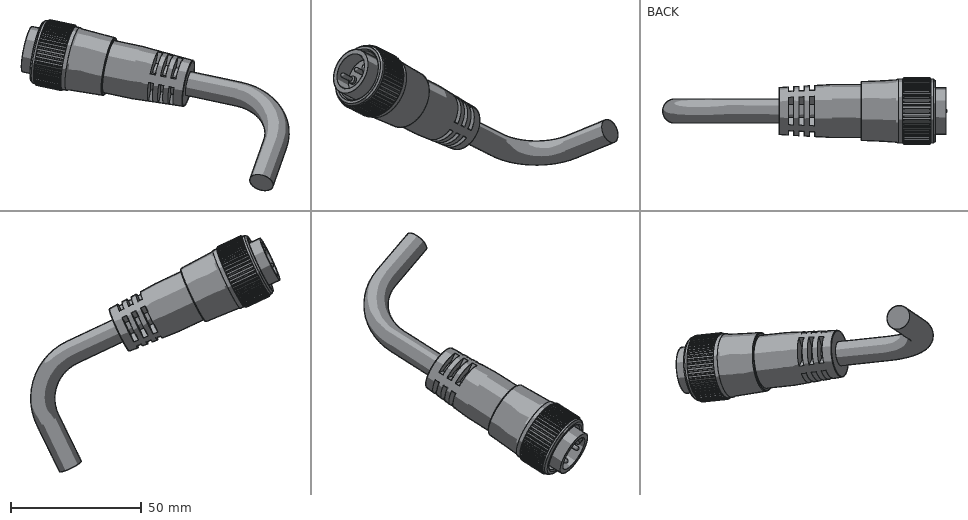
import cadquery as cq
import math


nut_front = 4.2
knurl_start = 5.8
knurl_end = 16.7
collar_end = 18.4
skirt_start = 19.2
nut_rear = 32.8
seat_x = 13.1
taper_start = 43.9
overmold_rear = 64.3

barrel_radius = 9.0
socket_radius = 7.1
socket_depth = 6.6
key_half_width = 2.3
key_nose_x = 1.0
key_inner_y = -5.0
pin_radius = 0.9
pin_tip_x = -0.3
pin_pitch = 7.0
pin_centre_y = 1.0
pin_ys = [pin_centre_y - pin_pitch / 2, pin_centre_y + pin_pitch / 2]
pin_collar_radius = 1.5
pin_collar_height = 1.6
pin_collar_bevel = pin_collar_radius - pin_radius

bore_radius = 10.1
bore_bevel = 0.5
nut_face_radius = 11.7
collar_radius = 12.4
front_bevel_length = 0.8
knurl_radius = 12.9
knurl_bevel = knurl_radius - collar_radius
skirt_front_radius = 12.0
skirt_rear_radius = 11.4
skirt_rear_bevel = 0.3
groove_count = 55
groove_width = 0.9

overmold_radius = 10.3
tail_radius = 9.1
tail_bevel = 0.2
slot_row_count = 3
slot_width = 2.0
slot_pitch = 4.0
first_slot_x = 50.5
core_radius = 5.5
web_thickness = 3.4

cable_radius = 4.7
cable_straight = 20.0
cable_bend_radius = 20.0


def cylinder(x_start, x_end, radius, y=0):
    """Solid cylinder lying along X."""
    return cq.Workplane("YZ", origin=(x_start, y, 0)).circle(radius).extrude(x_end - x_start)


def revolve_about_x(profile):
    """Full turn of a closed XY profile about the X axis."""
    return profile.close().revolve(360, (0, 0, 0), (1, 0, 0))


def make_pin(y):
    """Round-nosed contact pin with a bevelled collar where it leaves the socket floor."""
    collar_x = socket_depth - pin_collar_height
    shaft = cylinder(pin_tip_x + pin_radius, socket_depth, pin_radius, y)
    nose = cq.Workplane("XY").sphere(pin_radius).translate((pin_tip_x + pin_radius, y, 0))
    collar = cylinder(collar_x, socket_depth, pin_collar_radius, y).faces("<X").chamfer(pin_collar_bevel)
    return shaft.union(nose).union(collar)


def make_key():
    """Round-nosed key that runs along the socket wall to its floor."""
    arc_centre_x = key_nose_x + key_half_width
    outer_y = -(socket_radius + barrel_radius) / 2
    block = (
        cq.Workplane("XZ", origin=(0, key_inner_y, 0))
        .moveTo(socket_depth, -key_half_width)
        .lineTo(arc_centre_x, -key_half_width)
        .threePointArc((key_nose_x, 0), (arc_centre_x, key_half_width))
        .lineTo(socket_depth, key_half_width)
        .close()
        .extrude(key_inner_y - outer_y)
    )
    return block.intersect(cylinder(0, socket_depth, socket_radius))


def make_insert():
    insert = cylinder(0, seat_x, barrel_radius).cut(cylinder(0, socket_depth, socket_radius))
    insert = insert.union(make_key())
    for y in pin_ys:
        insert = insert.union(make_pin(y))
    return insert


def make_nut_blank():
    """Nut before knurling: bevelled collar, knurl band and tapered skirt around a stepped bore."""
    return revolve_about_x(
        cq.Workplane("XY")
        .moveTo(nut_front, bore_radius + bore_bevel)
        .lineTo(nut_front, nut_face_radius)
        .lineTo(nut_front + front_bevel_length, collar_radius)
        .lineTo(knurl_start, collar_radius)
        .lineTo(knurl_start + knurl_bevel, knurl_radius)
        .lineTo(knurl_end - knurl_bevel, knurl_radius)
        .lineTo(knurl_end, collar_radius)
        .lineTo(collar_end, collar_radius)
        .lineTo(skirt_start, skirt_front_radius)
        .lineTo(nut_rear - skirt_rear_bevel, skirt_rear_radius)
        .lineTo(nut_rear, skirt_rear_radius - skirt_rear_bevel)
        .lineTo(nut_rear, overmold_radius)
        .lineTo(seat_x, overmold_radius)
        .lineTo(seat_x, bore_radius)
        .lineTo(nut_front + bore_bevel, bore_radius)
    )


def make_nut():
    """Nut with straight knurl grooves cut down to the collar radius."""
    groove_depth = 2 * knurl_bevel
    grooves = (
        cq.Workplane("YZ", origin=(knurl_start, 0, 0))
        .polarArray(collar_radius + groove_depth / 2, 0, 360, groove_count)
        .rect(groove_depth, groove_width)
        .extrude(knurl_end - knurl_start)
    )
    return make_nut_blank().cut(grooves)


def make_slot_row(x):
    """Ring of four slots down to the core, parted by two crossed diagonal webs."""
    ring = cylinder(x, x + slot_width, overmold_radius).cut(cylinder(x, x + slot_width, core_radius))
    for angle in (45, 135):
        web = (
            cq.Workplane("YZ", origin=(x, 0, 0))
            .transformed(rotate=(0, 0, angle))
            .rect(2 * overmold_radius, web_thickness)
            .extrude(slot_width)
        )
        ring = ring.cut(web)
    return ring


def make_overmold():
    """Sleeve seated in the nut, tapering to the slotted strain relief."""
    overmold = revolve_about_x(
        cq.Workplane("XY")
        .moveTo(seat_x, 0)
        .lineTo(seat_x, overmold_radius)
        .lineTo(taper_start, overmold_radius)
        .lineTo(overmold_rear - tail_bevel, tail_radius)
        .lineTo(overmold_rear, tail_radius - tail_bevel)
        .lineTo(overmold_rear, 0)
    )
    for row in range(slot_row_count):
        overmold = overmold.cut(make_slot_row(first_slot_x + row * slot_pitch))
    return overmold


def make_cable():
    """Round cable leaving the overmold along +X and bending a quarter turn to -Y."""
    bend_start_x = overmold_rear + cable_straight
    bend_end_x = bend_start_x + cable_bend_radius
    middle = cable_bend_radius * math.sqrt(0.5)
    path = (
        cq.Workplane("XY")
        .moveTo(overmold_rear, 0)
        .lineTo(bend_start_x, 0)
        .threePointArc(
            (bend_start_x + middle, middle - cable_bend_radius),
            (bend_end_x, -cable_bend_radius),
        )
        .lineTo(bend_end_x, -cable_bend_radius - cable_straight)
    )
    return cq.Workplane("YZ", origin=(overmold_rear, 0, 0)).circle(cable_radius).sweep(path)


insert = make_insert()
nut = make_nut()
overmold = make_overmold()
cable = make_cable()

result = cq.Compound.makeCompound([body.solids().val() for body in (insert, nut, overmold, cable)])